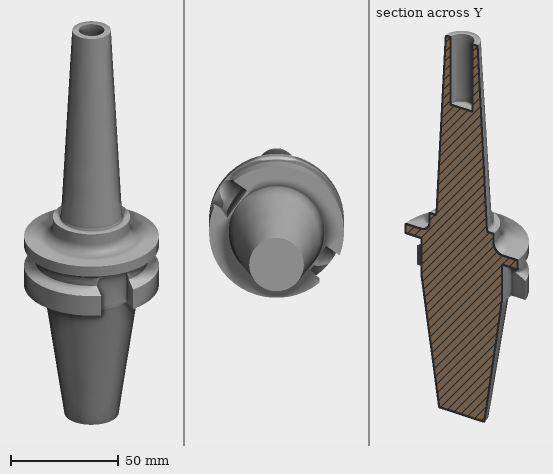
import cadquery as cq

total_height = 200.5

gauge_radius = 22.2
gauge_z = 65.3
diameter_taper = 7 / 24
shank_end_radius = gauge_radius - gauge_z * diameter_taper / 2

flange_radius = 31.5
groove_radius = 26.5
flange_bottom_z = 67.0
lower_rim_top_z = 77.2
groove_floor_bottom_z = 80.0
groove_floor_top_z = 84.4
upper_rim_bottom_z = 87.4
flange_top_z = 92.5

collar_radius = 18.0
collar_fillet = 4.8
collar_top_z = 102.6

neck_foot_radius = 14.6
neck_base_radius = 14.2
neck_base_z = 103.6
neck_tip_radius = 9.0

bore_radius = 6.0
bore_depth = 36.0

slot_width = 16.2
slot_floor_x = 22.6
slot_top_z = upper_rim_bottom_z


def make_body():
    """Revolve the half profile; local x is the radius and local y is Z."""
    profile = (
        cq.Workplane("XZ")
        .lineTo(shank_end_radius, 0)
        .lineTo(gauge_radius, gauge_z)
        .lineTo(gauge_radius, flange_bottom_z)
        .lineTo(flange_radius, flange_bottom_z)
        .lineTo(flange_radius, lower_rim_top_z)
        .lineTo(groove_radius, groove_floor_bottom_z)
        .lineTo(groove_radius, groove_floor_top_z)
        .lineTo(flange_radius, upper_rim_bottom_z)
        .lineTo(flange_radius, flange_top_z)
        .lineTo(collar_radius + collar_fillet, flange_top_z)
        .radiusArc((collar_radius, flange_top_z + collar_fillet), collar_fillet)
        .lineTo(collar_radius, collar_top_z)
        .lineTo(neck_foot_radius, collar_top_z)
        .lineTo(neck_base_radius, neck_base_z)
        .lineTo(neck_tip_radius, total_height)
        .lineTo(0, total_height)
        .close()
    )
    return profile.revolve(360, (0, 0, 0), (0, 1, 0))


def make_drive_slot(side):
    """Round-topped cutter, open downward, for side -1 (-X) or +1 (+X)."""
    half_width = slot_width / 2
    arc_center_z = slot_top_z - half_width
    return (
        cq.Workplane("YZ", origin=(side * slot_floor_x, 0, 0))
        .moveTo(-half_width, gauge_z)
        .lineTo(half_width, gauge_z)
        .lineTo(half_width, arc_center_z)
        .threePointArc((0, slot_top_z), (-half_width, arc_center_z))
        .close()
        .extrude(side * flange_radius)
    )


result = make_body()
for slot_side in (-1, 1):
    result = result.cut(make_drive_slot(slot_side))

bore = cq.Workplane("XY", origin=(0, 0, total_height)).circle(bore_radius).extrude(-bore_depth)
result = result.cut(bore)